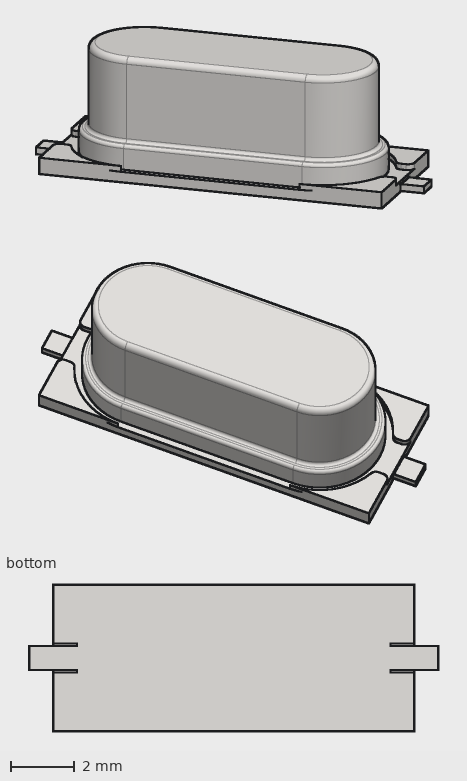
import cadquery as cq

total_length = 12.8
total_height = 3.92

base_length = 11.3
base_width = 4.6
base_height = 0.54
floor_height = 0.35

recess_radius = base_width / 2
channel_width = 1.42
channel_corner_radius = 0.2

arc_spacing = 5.89
can_radius = 1.75
flange_radius = 2.06
flange_top = 1.15
top_edge_radius = 0.2
flange_edge_radius = 0.12
can_foot_radius = 0.12

lead_width = 0.75
lead_thickness = 0.23
notch_width = 0.9
notch_depth = 0.74


def stadium(end_radius, bottom, top):
    """Upright prism with straight sides and half-round ends."""
    return (
        cq.Workplane("XY")
        .workplane(offset=bottom)
        .slot2D(arc_spacing + 2 * end_radius, 2 * end_radius)
        .extrude(top - bottom)
    )


def make_base():
    """Plate with a stadium recess that opens through a channel at each end."""
    plate = cq.Workplane("XY").rect(base_length, base_width).extrude(base_height)
    channel = (
        cq.Workplane("XY")
        .workplane(offset=floor_height)
        .rect(base_length, channel_width)
        .extrude(base_height - floor_height)
    )
    recess = stadium(recess_radius, floor_height, base_height)
    base = plate.cut(recess.union(channel))

    channel_edges = cq.selectors.BoxSelector(
        (-base_length, -channel_width, floor_height),
        (base_length, channel_width, base_height),
    )
    return base.edges("|Z").edges(channel_edges).fillet(channel_corner_radius)


def make_can():
    """Flanged can with a rounded top, rounded flange edge and filleted foot."""
    flange = stadium(flange_radius, floor_height, flange_top).faces(">Z").edges().fillet(flange_edge_radius)
    can = stadium(can_radius, flange_top, total_height).faces(">Z").edges().fillet(top_edge_radius)
    selection_margin = can_foot_radius / 2
    foot_edges = cq.selectors.BoxSelector(
        (-total_length, -can_radius - selection_margin, flange_top - selection_margin),
        (total_length, can_radius + selection_margin, flange_top + selection_margin),
        boundingbox=True,
    )
    return flange.union(can).edges(foot_edges).fillet(can_foot_radius)


def cut_lead_notches(body):
    """Cut a shallow notch under each end of the base."""
    notch_centre = (base_length - notch_depth) / 2
    notches = (
        cq.Workplane("XY")
        .pushPoints([(-notch_centre, 0), (notch_centre, 0)])
        .rect(notch_depth, notch_width)
        .extrude(lead_thickness)
    )
    return body.cut(notches)


def make_leads():
    """Flat leads that run from inside each notch to the ends of the part."""
    lead_length = (total_length - base_length) / 2 + notch_depth
    lead_centre = (total_length - lead_length) / 2
    return (
        cq.Workplane("XY")
        .pushPoints([(-lead_centre, 0), (lead_centre, 0)])
        .rect(lead_length, lead_width)
        .extrude(lead_thickness)
    )


body = make_base().union(make_can())
result = cut_lead_notches(body).union(make_leads())